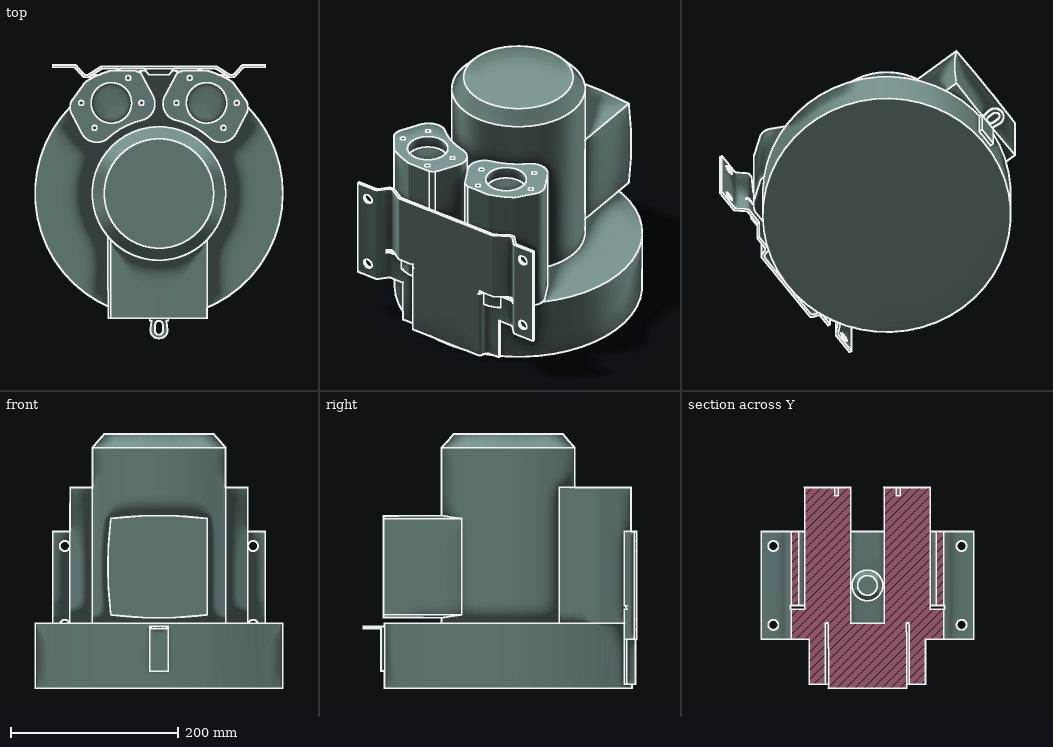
import cadquery as cq
import math

housing_radius = 148.2
housing_height = 78.2

total_height = 304.3
motor_radius = 80.0
rim_width = 14.5
rim_height = 16.5

box_front = -149.2
box_half_side = 57.5
box_centre_z = 145.5
box_bulge = 3.5

silencer_top = 240.5
silencer_motor_gap = 10.0
port_x = 57.0
port_y = 108.3
port_radius = 24.2
port_depth = 15.0
screw_circle_radius = 36.0
screw_angles = (0, 56, 180, 236)
screw_radius = 3.0
screw_depth = 9.8

sheet = 3.0
bend_radius = 4.0
bracket_back = 153.8
bracket_half_width = 127.3
ear_inner_x = 100.0
valley_outer_x = 89.5
valley_inner_x = 84.7
valley_y = 140.5
bridge_y = 151.0
bridge_half_width = 68.0
hat_half_width = 48.5
hat_foot_half_width = 51.0
bracket_bottom = 58.5
bracket_top = 187.8
slit_outer_x = 92.0
slit_bottom = 95.0
slit_top = 99.0
tongue_half_width = 69.7
tongue_bottom = 5.0
bolt_x = 112.5
bolt_spacing = 94.2
bolt_radius = 6.0
dimple_outer_radius = 19.5
dimple_inner_radius = 11.8
dimple_tip_y = 141.7

strap_half_width = 11.0
strap_front = -152.0
strap_bottom = 20.5
eye_top = 74.3
eye_thickness = 2.5
eye_tip = -173.5
eye_radius = 10.5
neck_half_width = 8.5
eye_slot_y = -160.5
eye_slot_length = 16.5
eye_slot_width = 9.0


def make_housing():
    return cq.Workplane("XY").circle(housing_radius).extrude(housing_height)


def make_motor():
    shoulder_z = total_height - rim_height
    return (
        cq.Workplane("XZ")
        .lineTo(motor_radius, 0)
        .lineTo(motor_radius, shoulder_z)
        .lineTo(motor_radius - rim_width, total_height)
        .lineTo(0, total_height)
        .close()
        .revolve(360, (0, 0, 0), (0, 1, 0))
    )


def make_terminal_box():
    low = box_centre_z - box_half_side
    high = box_centre_z + box_half_side
    outer = box_half_side + box_bulge
    return (
        cq.Workplane("XZ")
        .moveTo(box_half_side, low)
        .lineTo(box_half_side, high)
        .threePointArc((0, box_centre_z + outer), (-box_half_side, high))
        .threePointArc((-outer, box_centre_z), (-box_half_side, low))
        .threePointArc((0, box_centre_z - outer), (box_half_side, low))
        .close()
        .extrude(-box_front)
    )


def make_silencer():
    """Silencer on the -X side, its inner wall curved round the motor."""
    hollow_radius = motor_radius + silencer_motor_gap

    def on_hollow(angle):
        turn = math.radians(angle)
        return hollow_radius * math.cos(turn), hollow_radius * math.sin(turn)

    column = (
        cq.Workplane("XY")
        .workplane(offset=housing_height)
        .moveTo(-58.0, 147.0)
        .lineTo(-27.8, 147.0)
        .lineTo(-21.5, 144.0)
        .lineTo(-7.2, 116.8)
        .threePointArc((-6.2, 99.8), on_hollow(102))
        .threePointArc(on_hollow(118), on_hollow(134))
        .threePointArc((-75.5, 61.2), (-92.0, 71.3))
        .lineTo(-104.0, 94.5)
        .threePointArc((-106.5, 102.0), (-105.0, 110.0))
        .lineTo(-91.3, 129.0)
        .threePointArc((-89.0, 132.2), (-86.0, 134.8))
        .threePointArc((-72.5, 141.7), (-58.0, 147.0))
        .close()
        .extrude(silencer_top - housing_height)
    )
    top = cq.Workplane("XY").workplane(offset=silencer_top).center(-port_x, port_y)
    port = top.circle(port_radius).extrude(-port_depth)
    screw_places = [
        (screw_circle_radius * math.cos(math.radians(a)), screw_circle_radius * math.sin(math.radians(a)))
        for a in screw_angles
    ]
    screws = top.pushPoints(screw_places).circle(screw_radius).extrude(-screw_depth)
    return column.cut(port).cut(screws)


def fold_sheet(half_path, bottom, top):
    """Sheet following a path of mid-thickness points from -X to the middle, mirrored to +X."""
    path = half_path + [(-x, y) for x, y in reversed(half_path)]
    headings = [math.atan2(y1 - y0, x1 - x0) for (x0, y0), (x1, y1) in zip(path, path[1:])]
    before = headings[:1] + headings
    after = headings + headings[-1:]
    outer_side = []
    inner_side = []
    for (x, y), a, b in zip(path, before, after):
        reach = sheet / 2 / math.cos((b - a) / 2)
        dx = -reach * math.sin((a + b) / 2)
        dy = reach * math.cos((a + b) / 2)
        outer_side.append((x + dx, y + dy))
        inner_side.append((x - dx, y - dy))
    return (
        cq.Workplane("XY")
        .workplane(offset=bottom)
        .polyline(outer_side + inner_side[::-1])
        .close()
        .extrude(top - bottom)
        .edges("|Z and (not <X) and (not >X)")
        .fillet(bend_radius)
    )


def make_bracket():
    ear_y = bracket_back - sheet / 2
    ear = [(-bracket_half_width, ear_y), (-ear_inner_x, ear_y), (-valley_outer_x, valley_y)]
    ramp = [(-valley_inner_x, valley_y), (-bridge_half_width, bridge_y)]
    hat = [(-hat_foot_half_width, valley_y), (-hat_half_width, bridge_y)]
    tongue_end = [(-tongue_half_width, valley_y)]

    upper = fold_sheet(ear + ramp, slit_bottom, bracket_top)
    lower = fold_sheet(ear + hat, bracket_bottom, slit_bottom)
    tongue = fold_sheet(tongue_end + hat, tongue_bottom, bracket_bottom)

    slit_width = slit_outer_x - hat_half_width
    slit_centre_x = (slit_outer_x + hat_half_width) / 2
    slits = (
        cq.Workplane("XY")
        .workplane(offset=slit_bottom)
        .pushPoints([(-slit_centre_x, valley_y), (slit_centre_x, valley_y)])
        .rect(slit_width, 2 * (bracket_back - valley_y))
        .extrude(slit_top - slit_bottom)
    )
    middle_z = (bracket_bottom + bracket_top) / 2
    bolt_holes = (
        cq.Workplane("XZ", origin=(0, bracket_back, middle_z))
        .rect(2 * bolt_x, bolt_spacing, forConstruction=True)
        .vertices()
        .circle(bolt_radius)
        .extrude(sheet)
    )
    dimple = (
        cq.Workplane("XZ", origin=(0, bridge_y, middle_z))
        .circle(dimple_outer_radius)
        .workplane(offset=bridge_y - dimple_tip_y)
        .circle(dimple_inner_radius)
        .loft()
    )
    return upper.cut(slits).union(lower).cut(bolt_holes).union(tongue).union(dimple)


def make_lifting_eye():
    eye_centre_y = eye_tip + eye_radius
    root_y = strap_front + sheet
    embedded_y = -housing_radius + sheet
    eye_bottom = eye_top - eye_thickness
    strap = cq.Workplane("XY").box(
        2 * strap_half_width, embedded_y - strap_front, eye_top - strap_bottom, centered=(True, False, False)
    ).translate((0, strap_front, strap_bottom))
    eye = (
        cq.Workplane("XY")
        .workplane(offset=eye_bottom)
        .moveTo(neck_half_width, root_y)
        .lineTo(eye_radius, eye_centre_y)
        .threePointArc((0, eye_tip), (-eye_radius, eye_centre_y))
        .lineTo(-neck_half_width, root_y)
        .close()
        .extrude(eye_thickness)
    )
    slot = (
        cq.Workplane("XY")
        .workplane(offset=eye_bottom)
        .center(0, eye_slot_y)
        .slot2D(eye_slot_length, eye_slot_width, 90)
        .extrude(eye_thickness)
    )
    return strap.union(eye.cut(slot))


silencer = make_silencer()
result = (
    make_housing()
    .union(make_motor())
    .union(make_terminal_box())
    .union(silencer)
    .union(silencer.mirror("YZ"))
    .union(make_bracket())
    .union(make_lifting_eye())
)